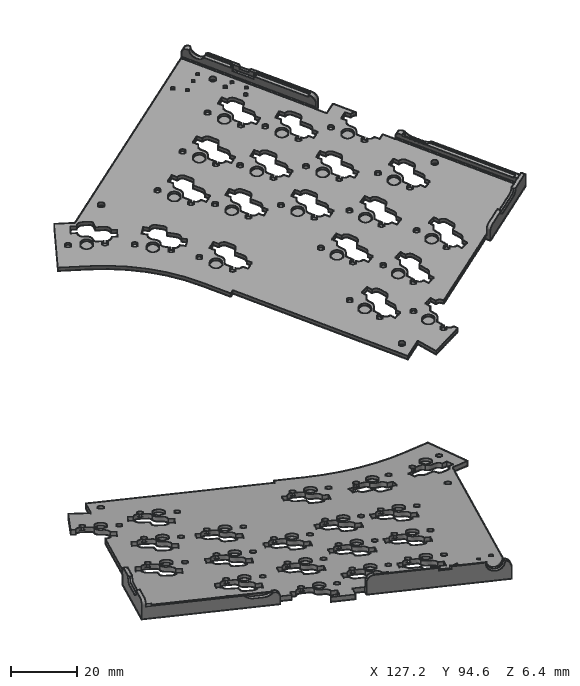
import cadquery as cq
import math

overall_length = 127.2

plate_left = -58.1
plate_right = 55.0
plate_front = -31.9
plate_back = 43.1
plate_height = 1.7

column_pitch = 18.0
row_pitch = 17.0
keys_per_column = 3
cell_width = 18.5
cell_depth = 17.3
half_width = cell_width / 2
half_depth = cell_depth / 2
straight_columns = [(-2 * column_pitch, 27.5), (-column_pitch, 30.3), (0.0, 38.7)]
tilted_column = (20.6, 28.4)
tilted_column_angle = -4.0
outer_column = (41.0, 12.7)
outer_column_angle = -10.0
right_edge_key_y = -16.3

thumb_keys = [(-13.0, -24.7, 0.0), (-32.8, -27.4, 15.0), (-51.3, -35.1, 30.0)]

center_hole_diameter = 4.0
side_hole_diameter = 1.9
side_hole_offset = 5.6
blind_depth = 1.0

left_pad_end, left_pad_low, left_pad_high = -4.5, 4.6, 7.3
right_pad_end, right_pad_low, right_pad_high = 9.5, 2.4, 5.1
left_lobe_side, left_lobe_low, left_lobe_high = -2.5, 3.0, 8.8
right_lobe_side, right_lobe_low, right_lobe_high = 7.8, 0.9, 6.5

screw_hole_diameter = 2.0
screw_holes = [(-45.9, 40.1), (28.5, 40.1), (-54.2, -19.2), (51.1, -28.2)]
peg_hole_diameter = 1.3
peg_holes = [(-41.2, 38.9), (-34.3, 38.9), (-55.1, 31.4)]
pin_hole_diameter = 1.0
pin_holes = [(-40.2, 41.5), (-35.4, 41.5), (-50.9, 39.8), (-50.9, 36.8), (-50.9, 32.8)]

foot_size = 0.4
back_wall_inner = plate_back + foot_size
back_wall_outer = 45.2
side_wall_inner = plate_right + foot_size
side_wall_outer = 56.6
side_wall_front = 21.0
left_wall_end = -13.1
right_wall_start = 13.6
tall_wall_height = 6.4
low_wall_height = 4.2
tall_corner_radius = 2.3
low_corner_radius = 1.7
side_corner_radius = 1.5

lip_thickness = 0.5
tall_ledge_height = 5.5
low_ledge_height = 3.8
left_wall_ledges = [(-50.9, -41.6), (-33.5, -15.5)]
right_wall_ledge = (15.9, 53.3)

flare_size = 0.5
jack_x = -53.0
jack_radius = 2.5
pocket_x = -37.5
pocket_width = 7.1
pocket_depth = 0.8
pocket_floor = 4.2
slot_width = 3.0
plug_x = 20.4
plug_flat = 2.8
plug_diameter = 9.0
plug_floor = 2.9
plug_depth = 1.3
plug_taper = 7.0
side_notch_y = 33.1
side_notch_width = 9.3
side_notch_floor = 4.6
side_notch_radius = 1.4

clearance = 12.7


def on_key(key, x, y):
    """Plate position of the point (x, y) of a key's own frame."""
    key_x, key_y, angle = key
    cosine = math.cos(math.radians(angle))
    sine = math.sin(math.radians(angle))
    return (key_x + x * cosine - y * sine, key_y + x * sine + y * cosine)


def column(back_key, angle=0.0):
    """Keys of one column, from its back key forward along the column's axis."""
    start = (back_key[0], back_key[1], angle)
    return [on_key(start, 0, -row * row_pitch) + (angle,) for row in range(keys_per_column)]


def box(x0, x1, y0, y1, z0, z1):
    """Block between two limits on each axis."""
    return cq.Workplane("XY").box(x1 - x0, y1 - y0, z1 - z0, centered=False).translate((x0, y0, z0))


def right_edge_key():
    """Key whose overhanging cell ends the overall length measured from the left thumb corner."""
    left_tip = on_key(thumb_keys[-1], -half_width, half_depth)[0]
    reach = on_key((0.0, 0.0, outer_column_angle), half_width, right_pad_low)[0]
    return (left_tip + overall_length - reach, right_edge_key_y, outer_column_angle)


back_edge_key = straight_columns[-1] + (0.0,)
edge_key = right_edge_key()
keys = [key for back_key in straight_columns for key in column(back_key)]
keys += column(tilted_column, tilted_column_angle)
keys += column(outer_column, outer_column_angle)
keys += [edge_key] + thumb_keys


def cell_part(key, x0, x1, y0, y1):
    """Piece of plate given as a rectangle in a key's own frame."""
    corners = [on_key(key, x, y) for x, y in ((x0, y0), (x1, y0), (x1, y1), (x0, y1))]
    return cq.Workplane("XY").polyline(corners).close().extrude(plate_height)


def thumb_plate():
    """Piece of plate whose front edge sweeps along the three thumb cells."""
    straight, middle, turned = thumb_keys
    tip = on_key(turned, -half_width, half_depth)
    rise = (plate_left - tip[0]) * math.tan(math.radians(turned[2]))
    right_end = on_key(straight, half_width, -half_depth)
    return (
        cq.Workplane("XY")
        .moveTo(*tip)
        .lineTo(*on_key(turned, -half_width, -half_depth))
        .lineTo(*on_key(turned, 0, -half_depth))
        .tangentArcPoint(on_key(middle, 0, -half_depth), relative=False)
        .tangentArcPoint(on_key(straight, 0, -half_depth), relative=False)
        .lineTo(*right_end)
        .lineTo(right_end[0], straight[1])
        .lineTo(plate_left, tip[1] + rise)
        .close()
        .extrude(plate_height)
    )


def plate():
    """Rectangular plate with the cells that reach past its edges."""
    body = box(plate_left, plate_right, plate_front, plate_back, 0, plate_height)
    body = body.union(thumb_plate())
    body = body.union(cell_part(back_edge_key, -half_width, 0, 0, half_depth))
    return body.union(cell_part(edge_key, 0, half_width, -half_depth, right_pad_high))


def socket_opening(key):
    """Through opening for the switch socket: two offset lobes, each with a solder pad."""
    outline = (
        cq.Workplane("XY")
        .moveTo(left_pad_end, left_pad_low)
        .lineTo(left_lobe_side, left_pad_low)
        .threePointArc((-2.0, 3.5), (-0.8, left_lobe_low))
        .lineTo(0.3, left_lobe_low)
        .threePointArc((1.4, 2.7), (2.0, 1.9))
        .threePointArc((2.4, 1.1), (3.2, right_lobe_low))
        .lineTo(6.0, right_lobe_low)
        .threePointArc((7.3, 1.4), (right_lobe_side, right_pad_low))
        .lineTo(right_pad_end, right_pad_low)
        .lineTo(right_pad_end, right_pad_high)
        .lineTo(right_lobe_side, right_pad_high)
        .threePointArc((7.3, 6.0), (6.0, right_lobe_high))
        .lineTo(3.0, right_lobe_high)
        .lineTo(2.5, 8.3)
        .threePointArc((2.0, 8.7), (1.1, left_lobe_high))
        .lineTo(-0.8, left_lobe_high)
        .threePointArc((-2.0, 8.3), (left_lobe_side, left_pad_high))
        .lineTo(left_pad_end, left_pad_high)
        .close()
    )
    key_x, key_y, angle = key
    return outline.extrude(plate_height).rotate((0, 0, 0), (0, 0, 1), angle).translate((key_x, key_y, 0))


def drill(points, diameter, floor):
    """Cylinders that cut holes from above down to the height `floor`."""
    return cq.Workplane("XY", origin=(0, 0, floor)).pushPoints(points).circle(diameter / 2).extrude(clearance)


def foot(plane, origin, edge, length):
    """Strip of plate with a sloped top that leads from the plate edge up to a wall."""
    top = plate_height + foot_size
    section = [(edge, 0), (edge + foot_size, 0), (edge + foot_size, top), (edge, plate_height)]
    return cq.Workplane(plane, origin=origin).polyline(section).close().extrude(length)


def feet():
    left = foot("YZ", (plate_left, 0, 0), plate_back, left_wall_end - plate_left)
    right = foot("YZ", (right_wall_start, 0, 0), plate_back, side_wall_inner - right_wall_start)
    side = foot("XZ", (0, back_wall_inner, 0), plate_right, back_wall_inner - side_wall_front)
    return left.union(right).union(side)


def ledge(x_range, height):
    """Cutter that lowers a back wall behind its outer lip."""
    return box(*x_range, plate_back, back_wall_outer - lip_thickness, height, clearance)


def left_wall():
    wall = box(plate_left, left_wall_end, back_wall_inner, back_wall_outer, 0, tall_wall_height)
    wall = wall.edges("|Y and >Z").fillet(tall_corner_radius)
    for x_range in left_wall_ledges:
        wall = wall.cut(ledge(x_range, tall_ledge_height))

    outer_face = cq.Workplane("XZ", origin=(jack_x, back_wall_outer, tall_wall_height))
    wall = wall.cut(outer_face.circle(jack_radius).extrude(clearance))
    flare = outer_face.circle(jack_radius + flare_size).workplane(offset=flare_size).circle(jack_radius)
    wall = wall.cut(flare.loft())

    pocket_half = pocket_width / 2
    pocket = box(-pocket_half, pocket_half, 0, back_wall_inner + pocket_depth, pocket_floor, clearance)
    slot_half = slot_width / 2
    flare_start = back_wall_outer - flare_size
    slot_section = [
        (-slot_half, 0),
        (slot_half, 0),
        (slot_half, flare_start),
        (slot_half + flare_size, back_wall_outer),
        (-slot_half - flare_size, back_wall_outer),
        (-slot_half, flare_start),
    ]
    slot_floor = cq.Workplane("XY", origin=(0, 0, tall_ledge_height))
    slot = slot_floor.polyline(slot_section).close().extrude(clearance)
    return wall.cut(pocket.union(slot).translate((pocket_x, 0, 0)))


def right_wall():
    wall = box(right_wall_start, side_wall_outer, back_wall_inner, back_wall_outer, 0, low_wall_height)
    wall = wall.edges("|Y and >Z and <X").fillet(low_corner_radius)
    wall = wall.cut(ledge(right_wall_ledge, low_ledge_height))

    recess = (
        cq.Workplane("XZ", origin=(plug_x, back_wall_outer, plug_floor + plug_diameter / 2))
        .slot2D(plug_flat + plug_diameter, plug_diameter)
        .extrude(plug_depth, taper=plug_taper)
    )
    return wall.cut(recess)


def notch_outline(growth):
    """Rounded outline of the side notch, mirrored above the wall top and widened by `growth`."""
    width = side_notch_width + 2 * growth
    height = 2 * (tall_wall_height - side_notch_floor + growth)
    return cq.Sketch().rect(width, height).vertices().fillet(side_notch_radius + growth)


def side_wall():
    wall = box(side_wall_inner, side_wall_outer, side_wall_front, back_wall_outer, 0, tall_wall_height)
    wall = wall.edges("|X and >Z").fillet(side_corner_radius)

    notch_top = (side_wall_outer - flare_size, side_notch_y, tall_wall_height)
    flare_plane = cq.Workplane("YZ", origin=notch_top)
    narrow = notch_outline(0)
    wide = notch_outline(flare_size).moved(cq.Location(cq.Vector(0, 0, flare_size)))
    wall = wall.cut(flare_plane.placeSketch(narrow).extrude(-clearance))
    return wall.cut(flare_plane.placeSketch(narrow, wide).loft())


body = plate().union(feet()).union(left_wall()).union(right_wall()).union(side_wall())
for key in keys:
    body = body.cut(socket_opening(key))

blind_floor = plate_height - blind_depth
center_points = [on_key(key, 0, 0) for key in keys]
side_points = [on_key(key, offset, 0) for key in keys for offset in (-side_hole_offset, side_hole_offset)]
body = body.cut(drill(center_points, center_hole_diameter, blind_floor))
body = body.cut(drill(side_points, side_hole_diameter, blind_floor))
body = body.cut(drill(peg_holes, peg_hole_diameter, blind_floor))
body = body.cut(drill(pin_holes, pin_hole_diameter, blind_floor))
result = body.cut(drill(screw_holes, screw_hole_diameter, 0))